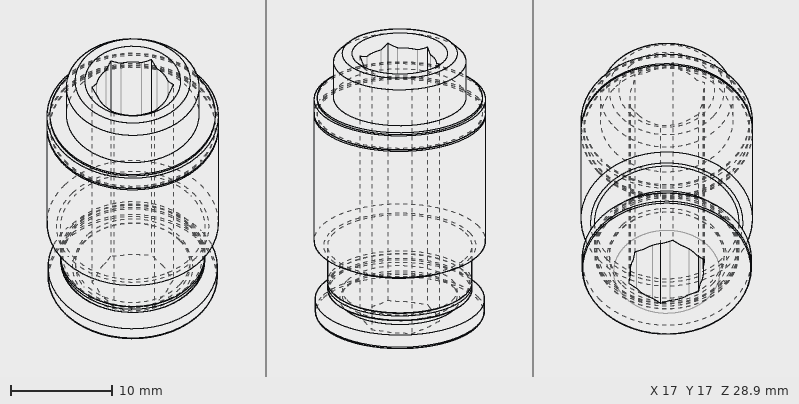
import cadquery as cq
import math

height = 28.9
bottom_face_diameter = 10.52
flange_diameter = 16.8
neck_diameter = 11.4
ring_diameter = 14.3
body_diameter = 17.0
body_bottom_diameter = 15.1
body_groove_diameter = 16.4
spigot_diameter = 13.15

dome_top = 0.5
flange_top = 2.02
ring_bottom = 2.95
ring_groove_level = 3.7
body_bottom = 7.83
body_chamfer_top = 8.38
body_groove_bottom = 22.2
body_top = 24.1

flange_chamfer_width = 0.1
flange_chamfer_height = 0.2
neck_foot_width = 0.25
neck_foot_height = 0.35
ring_chamfer = 0.12
ring_groove_depth = 0.23
ring_groove_half_height = 0.17
body_groove_height = 0.2
cap_step_height = 0.2
spigot_chamfer = 0.87

hex_across_flats = 7.0
relief_bore_diameter = 7.28
mouth_diameter = 9.48


def turned_outside():
    """Revolve the outer half profile about the Z axis."""
    flange_r = flange_diameter / 2
    neck_r = neck_diameter / 2
    ring_r = ring_diameter / 2
    body_r = body_diameter / 2
    groove_r = body_groove_diameter / 2
    spigot_r = spigot_diameter / 2
    groove_top = body_groove_bottom + body_groove_height

    profile = [
        (0, 0),
        (bottom_face_diameter / 2, 0),
        (flange_r - flange_chamfer_width, dome_top),
        (flange_r, dome_top + flange_chamfer_height),
        (flange_r, flange_top),
        (neck_r + neck_foot_width, flange_top),
        (neck_r, flange_top + neck_foot_height),
        (neck_r, ring_bottom),
        (ring_r - ring_chamfer, ring_bottom),
        (ring_r, ring_bottom + ring_chamfer),
        (ring_r, ring_groove_level - ring_groove_half_height),
        (ring_r - ring_groove_depth, ring_groove_level),
        (ring_r, ring_groove_level + ring_groove_half_height),
        (ring_r, body_bottom),
        (body_bottom_diameter / 2, body_bottom),
        (body_r, body_chamfer_top),
        (body_r, body_groove_bottom),
        (groove_r, body_groove_bottom),
        (groove_r, groove_top),
        (body_r, groove_top),
        (body_r, body_top - cap_step_height),
        (groove_r, body_top - cap_step_height),
        (groove_r, body_top),
        (spigot_r, body_top),
        (spigot_r, height - spigot_chamfer),
        (spigot_r - spigot_chamfer, height),
        (0, height),
    ]
    return cq.Workplane("XZ").polyline(profile).close().revolve(360, (0, 0), (0, 1))


def hex_passage():
    """Through hexagon with flats facing +X and -X, joined with its relief bore."""
    hex_across_corners = hex_across_flats / math.cos(math.pi / 6)
    hexagon = cq.Workplane("XY").polygon(6, hex_across_corners).extrude(height)
    hexagon = hexagon.rotate((0, 0, 0), (0, 0, 1), 30)
    relief_bore = cq.Workplane("XY").circle(relief_bore_diameter / 2).extrude(height)
    return hexagon.union(relief_bore)


def mouth_countersink():
    """45 degree cone at the top of the passage; its tip lies within the passage."""
    mouth_r = mouth_diameter / 2
    half_section = [(0, height), (mouth_r, height), (0, height - mouth_r)]
    return cq.Workplane("XZ").polyline(half_section).close().revolve(360, (0, 0), (0, 1))


result = turned_outside().cut(hex_passage()).cut(mouth_countersink())